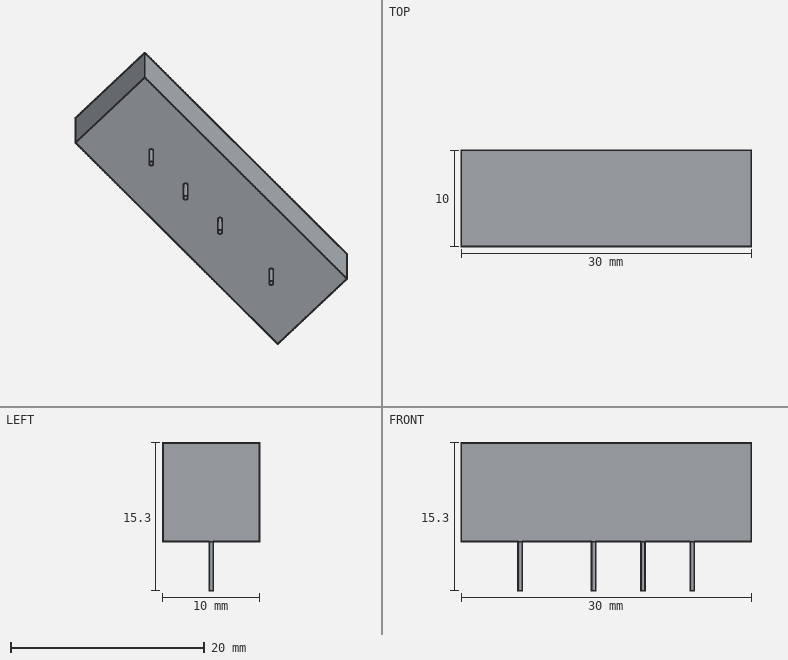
import cadquery as cq

housing_length = 30.0
housing_width = 10.0
housing_height = 10.2

overall_height = 15.3
pin_diameter = 0.45
pin_length = overall_height - housing_height

pin_row_length = 17.8
pin_pitch = 5.1
last_pin_x = pin_row_length / 2
pin_positions = [
    -pin_row_length / 2,
    last_pin_x - 2 * pin_pitch,
    last_pin_x - pin_pitch,
    last_pin_x,
]


def make_housing():
    return cq.Workplane("XY").box(
        housing_length, housing_width, housing_height, centered=(True, True, False)
    )


def make_pin(x):
    """Pin hanging from the underside of the housing at the given X."""
    return cq.Workplane("XY").center(x, 0).circle(pin_diameter / 2).extrude(-pin_length)


housing = make_housing()
pins = [make_pin(x) for x in pin_positions]

result = cq.Compound.makeCompound([housing.val(), *[pin.val() for pin in pins]])